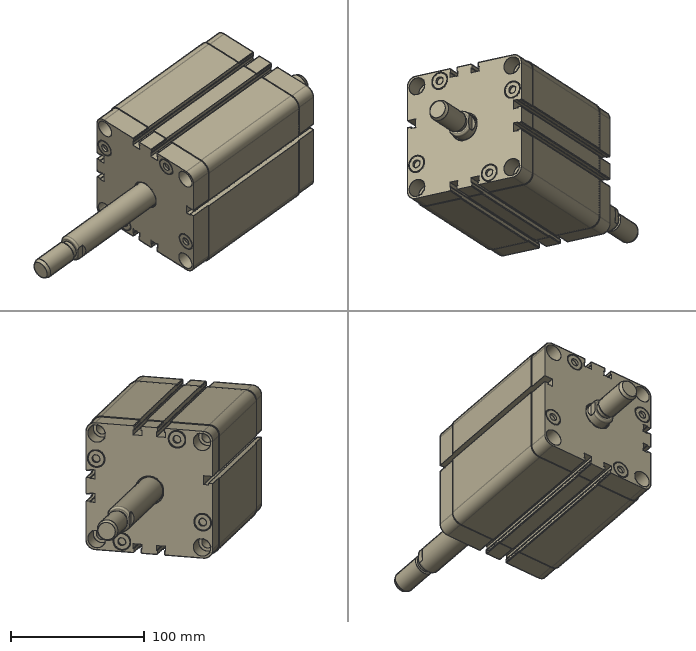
import cadquery as cq


total_length = 286.0
front_tip = -total_length / 2
rear_tip = total_length / 2
housing_length = 131.5
rear_overhang = 39.8
cap_length = 16.3
housing_back = rear_tip - rear_overhang
housing_front = housing_back - housing_length
tube_length = housing_length - 2 * cap_length

tube_width = 100.0
cap_width = 98.7
corner_center = 42.0

slot_offset = 9.2
slot_mouth = 5.5
slot_cavity = 7.0
slot_depth = 7.7
lip_depth = 4.0
mouth_bevel = 0.5
side_slot_top = 15.0
side_slot_mouth = 5.7

TOP = 0
BOTTOM = 2
LEFT = -1

mount_spacing = 82.0
mount_hole = 8.5
mount_counterbore = 13.5
counterbore_depth = 14.3

screw_near = 21.5
screw_far = 41.5
screw_recess = 13.5
screw_head = 12.5
recess_depth = 1.5
socket_diameter = 6.0
socket_depth = 2.0

rod_diameter = 20.0
rod_clearance = 22.0
clearance_depth = 1.5
shoulder_distance = 32.0
shoulder_fillet = 1.7
flat_width = 16.5
flat_length = 5.1

thread_diameter = 16.0
thread_length = 28.5
thread_end_chamfer = 0.5
tip_diameter = 13.5
tip_chamfer = 2.5
neck_diameter = 13.5


def extrude_y(sketch, y_start, length):
    """Extrude an XZ sketch from y_start toward +Y."""
    return sketch.extrude(-length).translate((0, y_start, 0))


def cylinders(points, diameter, y_start, length):
    """Round bars along Y, one at each (x, z) point."""
    return extrude_y(cq.Workplane("XZ").pushPoints(points).circle(diameter / 2), y_start, length)


def rounded_block(width, y_start, length):
    """Square length of housing with rounded long edges."""
    block = extrude_y(cq.Workplane("XZ").rect(width, width), y_start, length)
    return block.edges("|Y").fillet(width / 2 - corner_center)


def slot_pair(profile, y_start, length, face):
    """Cutter for two parallel slots of one (x, z) profile, turned to a housing face."""
    slot = extrude_y(cq.Workplane("XZ").polyline(profile).close(), y_start, length)
    pair = slot.translate((-slot_offset, 0, 0)).union(slot.translate((slot_offset, 0, 0)))
    return pair.rotate((0, 0, 0), (0, 1, 0), 90 * face)


def t_slots(face):
    """Two T-slots over the whole housing length."""
    surface = tube_width / 2
    lip = surface - lip_depth
    floor = surface - slot_depth
    profile = [
        (-slot_cavity / 2, floor),
        (slot_cavity / 2, floor),
        (slot_cavity / 2, lip),
        (slot_mouth / 2, lip),
        (slot_mouth / 2, surface),
        (-slot_mouth / 2, surface),
        (-slot_mouth / 2, lip),
        (-slot_cavity / 2, lip),
    ]
    return slot_pair(profile, housing_front, housing_length, face)


def mouth_bevels(width, y_start, length, face):
    """45 degree bevels on both edges of the two slot mouths."""
    surface = width / 2
    inner = slot_mouth / 2
    outer = inner + mouth_bevel
    profile = [
        (-inner, surface - mouth_bevel),
        (inner, surface - mouth_bevel),
        (outer, surface),
        (-outer, surface),
    ]
    return slot_pair(profile, y_start, length, face)


def side_slot():
    """Single slot on the +X face, with a straight upper wall and a lip only below."""
    surface = tube_width / 2
    cavity_bottom = side_slot_top - slot_cavity
    mouth_bottom = side_slot_top - side_slot_mouth
    profile = [
        (surface, side_slot_top),
        (surface - slot_depth, side_slot_top),
        (surface - slot_depth, cavity_bottom),
        (surface - lip_depth, cavity_bottom),
        (surface - lip_depth, mouth_bottom),
        (surface, mouth_bottom),
    ]
    return extrude_y(cq.Workplane("XZ").polyline(profile).close(), housing_front, housing_length)


def housing_section(width, y_start, length, beveled_faces):
    section = rounded_block(width, y_start, length)
    for face in beveled_faces:
        section = section.cut(mouth_bevels(width, y_start, length, face))
    return section


def slotted_housing():
    tube_front = housing_front + cap_length
    tube_back = housing_back - cap_length
    body = housing_section(tube_width, tube_front, tube_length, (BOTTOM, LEFT))
    for cap_front in (housing_front, tube_back):
        body = body.union(housing_section(cap_width, cap_front, cap_length, (TOP, BOTTOM, LEFT)))
    for face in (TOP, BOTTOM, LEFT):
        body = body.cut(t_slots(face))
    return body.cut(side_slot())


def cut_front_face_features(body):
    """Counterbores, sunk screws and rod clearance in the front face."""
    half = mount_spacing / 2
    corners = [(x, z) for x in (-half, half) for z in (-half, half)]
    screws = [
        (screw_near, screw_far),
        (-screw_far, screw_near),
        (-screw_near, -screw_far),
        (screw_far, -screw_near),
    ]
    body = body.cut(cylinders(corners, mount_hole, housing_front, housing_length))
    body = body.cut(cylinders(corners, mount_counterbore, housing_front, counterbore_depth))
    body = body.cut(cylinders([(0, 0)], rod_clearance, housing_front, clearance_depth))
    body = body.cut(cylinders(screws, screw_recess, housing_front, recess_depth))
    body = body.union(cylinders(screws, screw_head, housing_front, recess_depth))
    return body.cut(cylinders(screws, socket_diameter, housing_front, socket_depth))


def mirror_ends(body):
    """Give both ends of the housing the features of its front half."""
    middle = (housing_front + housing_back) / 2
    rear_block = extrude_y(cq.Workplane("XZ").rect(tube_width, tube_width), middle, housing_length / 2)
    front_half = body.cut(rear_block)
    return front_half.union(front_half.mirror("XZ", (0, middle, 0)))


def front_rod():
    """Front half of the rod: tip, thread, neck, rounded shoulder and two flats."""
    rod_radius = rod_diameter / 2
    thread_end = front_tip + thread_length
    shoulder = front_tip + shoulder_distance
    profile = (
        cq.Workplane("XY")
        .moveTo(0, front_tip)
        .lineTo(tip_diameter / 2, front_tip)
        .lineTo(thread_diameter / 2, front_tip + tip_chamfer)
        .lineTo(thread_diameter / 2, thread_end - thread_end_chamfer)
        .lineTo(neck_diameter / 2, thread_end)
        .lineTo(neck_diameter / 2, shoulder)
        .lineTo(rod_radius - shoulder_fillet, shoulder)
        .radiusArc((rod_radius, shoulder + shoulder_fillet), -shoulder_fillet)
        .lineTo(rod_radius, 0)
        .lineTo(0, 0)
        .close()
    )
    rod = profile.revolve(360, (0, 0, 0), (0, 1, 0))
    flat_end = shoulder + flat_length
    flat_depth = (rod_diameter - flat_width) / 2
    flat = (
        cq.Workplane("XY")
        .moveTo(flat_width / 2, shoulder)
        .lineTo(flat_width / 2, flat_end)
        .lineTo(rod_radius, flat_end + flat_depth)
        .lineTo(rod_radius, shoulder)
        .close()
        .extrude(rod_radius, both=True)
    )
    return rod.cut(flat).cut(flat.mirror("YZ"))


housing = mirror_ends(cut_front_face_features(slotted_housing()))
rod_half = front_rod()
rod = rod_half.union(rod_half.mirror("XZ"))
result = housing.union(rod)